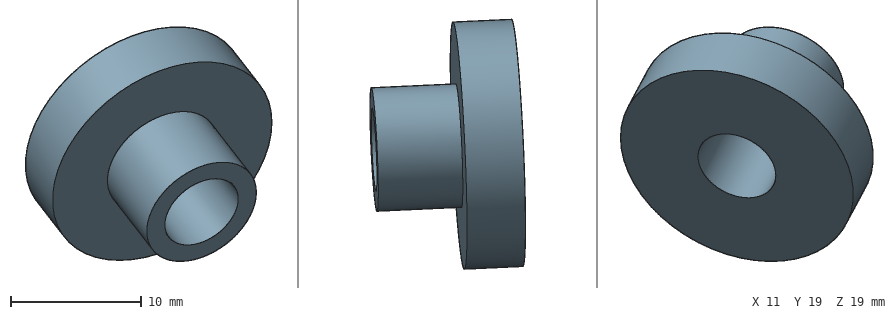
import cadquery as cq

flange_diameter = 19.0
flange_thickness = 4.5
boss_diameter = flange_diameter / 2
overall_length = 11.0
bore_diameter = 6.35

boss_length = overall_length - flange_thickness

flange = cq.Workplane("YZ").circle(flange_diameter / 2).extrude(flange_thickness)

flanged_bush = flange.faces(">X").workplane().circle(boss_diameter / 2).extrude(boss_length)

result = flanged_bush.faces(">X").workplane().hole(bore_diameter)